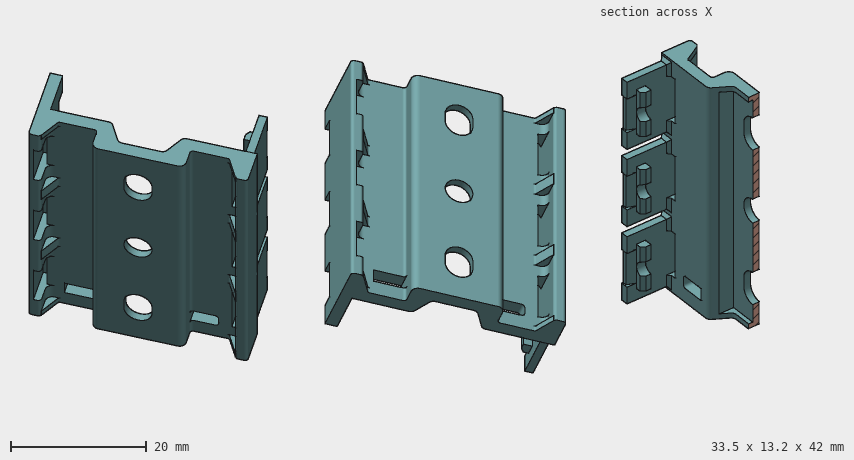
import cadquery as cq
import math

WIDTH = 33.55
DEPTH = 13.25
LENGTH = 42.0
HALF = WIDTH / 2

WEB = 2.0
WEB_FRONT = 3.35
WEB_BACK = WEB_FRONT + WEB
WALL = 1.95
WALL_TOP = 12.0
FOOT_INSIDE = HALF - WALL
FOOT_ROUND = 0.5
FOOT_FILLET = 1.1
BOSS_HALF = 7.15
BOSS_ROUND = 1.05
BOSS_FILLET = 0.45
CHANNEL_HALF = 5.45
CHANNEL_ANGLE = 60
CHANNEL_ROUND = 0.92

CELLS = 3
PITCH = LENGTH / CELLS
CELL_CENTRES = [(i + 0.5) * PITCH for i in range(CELLS)]
RIB_CENTRES = [i * PITCH for i in range(CELLS + 1)]

RIB = 1.97
RIB_START = 0.25
RIB_ROUND = 0.38

NOTCH = 6.75
NOTCH_DEPTH = 2.05
RELIEF_LIP = 0.8

FINGER = 12.2
FINGER_THICK = 1.3
FLARE = 0.55
LEAD_LENGTH = 6.1
LEAD_DROP = 0.25
LEAD_TOP = DEPTH - LEAD_DROP
LEAD_IN = 0.6
HOOK = 8.02
HOOK_REACH = 1.4
HOOK_BOTTOM = 9.83
HOOK_TOP = 11.5
HOOK_BEVEL_X = 0.5
HOOK_BEVEL_Y = 0.75
HOOK_NOTCH_RADIUS = 1.3

POCKET_HALF = 4.6
POCKET_FLOOR = 1.25
POCKET_END = 0.92

HOLE_DIAMETER = 4.3
SLOT_LENGTH = 5.8

STRAP_LEFT = -12.2
STRAP_RIGHT = 11.42
STRAP_LOW = 2.5
STRAP_HIGH = 4.7
STRAP_ROUND = 0.55

PICK_RANGE = 0.02


def prism(points, z_centre, length):
    """Extrude a closed XY outline, centred on z_centre, along Z."""
    plane = cq.Workplane("XY").workplane(offset=z_centre - length / 2)
    return plane.polyline(points).close().extrude(length)


def block(x0, x1, y0, y1, z_centre, length):
    """Make a box from its X and Y limits, centred on z_centre."""
    return prism([(x0, y0), (x1, y0), (x1, y1), (x0, y1)], z_centre, length)


def round_edges(body, points, radius):
    """Round the long Z edges that pass through the given XY points."""
    for x, y in points:
        low = (x - PICK_RANGE, y - PICK_RANGE, -LENGTH)
        high = (x + PICK_RANGE, y + PICK_RANGE, 2 * LENGTH)
        box = cq.selectors.BoxSelector(low, high)
        body = body.edges("|Z").edges(box).fillet(radius)
    return body


def mirrored(x, y):
    return [(-x, y), (x, y)]


def make_rail():
    floor_half = CHANNEL_HALF - (WEB_BACK - WEB) / math.tan(math.radians(CHANNEL_ANGLE))
    outline = [
        (-HALF, 0), (-FOOT_INSIDE, 0), (-FOOT_INSIDE, WEB_FRONT), (-BOSS_HALF, WEB_FRONT),
        (-BOSS_HALF, 0), (BOSS_HALF, 0), (BOSS_HALF, WEB_FRONT), (FOOT_INSIDE, WEB_FRONT),
        (FOOT_INSIDE, 0), (HALF, 0), (HALF, WEB_BACK), (CHANNEL_HALF, WEB_BACK),
        (floor_half, WEB), (-floor_half, WEB), (-CHANNEL_HALF, WEB_BACK),
        (-FOOT_INSIDE, WEB_BACK), (-FOOT_INSIDE, WALL_TOP), (-HALF, WALL_TOP),
    ]
    rail = prism(outline, LENGTH / 2, LENGTH)
    rail = round_edges(rail, mirrored(HALF, 0) + mirrored(FOOT_INSIDE, 0), FOOT_ROUND)
    rail = round_edges(rail, mirrored(FOOT_INSIDE, WEB_FRONT), FOOT_FILLET)
    rail = round_edges(rail, mirrored(BOSS_HALF, 0), BOSS_ROUND)
    rail = round_edges(rail, mirrored(BOSS_HALF, WEB_FRONT), BOSS_FILLET)
    channel = mirrored(CHANNEL_HALF, WEB_BACK) + mirrored(floor_half, WEB)
    return round_edges(rail, channel, CHANNEL_ROUND)


def make_rib(z_centre):
    """Sloped brace with a filleted tip, between the right foot and the web."""
    run = (WEB_FRONT - RIB_START) / math.tan(math.radians(CHANNEL_ANGLE))
    tip_x = FOOT_INSIDE - run
    root_x = FOOT_INSIDE + WALL / 2
    pad_x = tip_x - 2 * RIB_ROUND
    outline = [
        (FOOT_INSIDE, RIB_START), (tip_x, WEB_FRONT), (pad_x, WEB_FRONT),
        (pad_x, WEB_BACK), (root_x, WEB_BACK), (root_x, RIB_START),
    ]
    return round_edges(prism(outline, z_centre, RIB), [(tip_x, WEB_FRONT)], RIB_ROUND)


def make_finger(z_centre):
    """Snap finger with a flared base, a lead-in slope and a notched hook."""
    inside = FOOT_INSIDE
    outside = inside + FINGER_THICK
    hook_x = inside - HOOK_REACH
    finger = block(inside, outside, WEB_FRONT, DEPTH, z_centre, FINGER)

    flare = (
        cq.Workplane("XZ", origin=((inside + outside) / 2, WEB_BACK, z_centre))
        .rect(FINGER_THICK + 2 * FLARE, FINGER + 2 * FLARE)
        .workplane(offset=-FLARE)
        .rect(FINGER_THICK, FINGER)
        .loft()
    )

    lead = [
        (inside, HOOK_TOP), (inside + LEAD_IN, LEAD_TOP), (outside, LEAD_TOP),
        (outside, DEPTH), (inside, DEPTH),
    ]
    hook_outline = [
        (inside, HOOK_BOTTOM), (hook_x, HOOK_BOTTOM), (hook_x, HOOK_TOP - HOOK_BEVEL_Y),
        (hook_x + HOOK_BEVEL_X, HOOK_TOP), (inside, HOOK_TOP),
    ]
    notch = (
        cq.Workplane("XZ", origin=(hook_x, 0, z_centre))
        .circle(HOOK_NOTCH_RADIUS)
        .extrude(-DEPTH)
    )
    hook = prism(hook_outline, z_centre, HOOK).cut(notch)
    return finger.cut(prism(lead, z_centre, LEAD_LENGTH)).union(flare).union(hook)


def make_wall_cutouts(z_centre):
    """Notch in the back of the left wall, and relief on the inside of its foot."""
    notch = block(-HALF, -FOOT_INSIDE, WALL_TOP - NOTCH_DEPTH, WALL_TOP, z_centre, NOTCH)
    relief_end = -FOOT_INSIDE + FOOT_FILLET
    relief = [
        (-HALF + RELIEF_LIP, 0), (relief_end, 0), (relief_end, WEB_FRONT),
        (-FOOT_INSIDE, WEB_FRONT), (-FOOT_INSIDE, WEB_BACK), (-HALF + RELIEF_LIP, WEB_BACK),
    ]
    return notch.union(prism(relief, z_centre, NOTCH))


def make_pocket():
    length = LENGTH - 2 * POCKET_END
    return block(-POCKET_HALF, POCKET_HALF, POCKET_FLOOR, WEB_BACK, LENGTH / 2, length)


def make_holes():
    """Round hole in the middle and an elongated hole in each outer cell."""
    plane = cq.Workplane("XZ")
    low, middle, high = CELL_CENTRES
    slots = plane.pushPoints([(0, low), (0, high)]).slot2D(SLOT_LENGTH, HOLE_DIAMETER, 90)
    slots = slots.extrude(-WEB_BACK)
    return slots.union(plane.center(0, middle).circle(HOLE_DIAMETER / 2).extrude(-WEB_BACK))


def make_strap_slots():
    """Two slots through the web, one beside each flank of the boss."""
    middle = (STRAP_LOW + STRAP_HIGH) / 2
    height = STRAP_HIGH - STRAP_LOW
    left = block(STRAP_LEFT, -BOSS_HALF, 0, WEB_BACK, middle, height)
    right = block(BOSS_HALF, STRAP_RIGHT, 0, WEB_BACK, middle, height)
    return left.union(right.edges(">X and |Y").fillet(STRAP_ROUND))


rail = make_rail()
for z in CELL_CENTRES:
    rail = rail.cut(make_wall_cutouts(z))

for z in RIB_CENTRES:
    rib = make_rib(z)
    rail = rail.union(rib).union(rib.mirror("YZ"))
rail = rail.intersect(block(-HALF, HALF, 0, DEPTH, LENGTH / 2, LENGTH))

for z in CELL_CENTRES:
    rail = rail.union(make_finger(z))
    opening = block(FOOT_INSIDE - HOOK_REACH, FOOT_INSIDE, 0, HOOK_BOTTOM, z, HOOK)
    rail = rail.cut(opening)

result = rail.cut(make_pocket()).cut(make_holes()).cut(make_strap_slots())